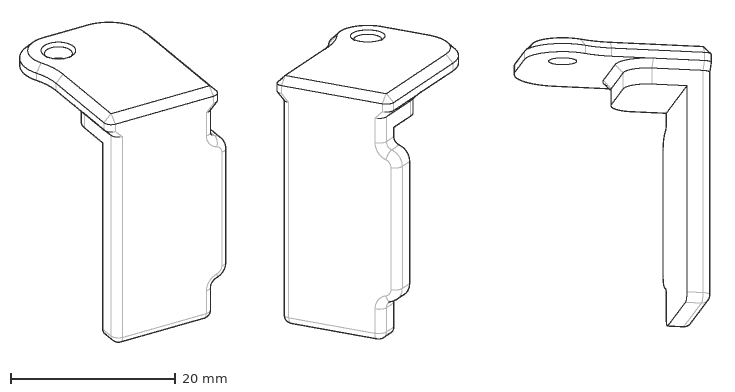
import cadquery as cq
import math

plate_length = 22.7
plate_width = 15.9
plate_thickness = 2.0
plate_corner_radius = 6.0
edge_size = 1.0
end_radius = edge_size + 0.03

lobe_radius = 4.75
lobe_center_y = 3.52
blend_radius = 8
hole_diameter = 3.4
hole_chamfer = 0.4

total_height = 32
block_left = 12.32
block_height = 3.0
block_corner_radius = 3.0
wall_thickness = 3.0
wall_front = edge_size
wall_back = plate_width - edge_size
wall_corner_radius = end_radius + 0.03

tab_back = 17.1
tab_top_z = -9.1
tab_bottom_z = -24.93
tab_outer_radius = 2.0
tab_inner_radius = 1.0

block_bottom_z = -plate_thickness - block_height


def arc_point(center, radius, degrees):
    """Point on a circle at an angle measured from the first axis."""
    angle = math.radians(degrees)
    return center[0] + radius * math.cos(angle), center[1] + radius * math.sin(angle)


def make_plate():
    center = (lobe_radius, lobe_center_y)
    center_distance = lobe_radius + blend_radius
    blend_rise = lobe_center_y + blend_radius
    blend_x = lobe_radius + math.sqrt(center_distance**2 - blend_rise**2)
    blend_center = (blend_x, -blend_radius)
    tangent_angle = math.degrees(math.atan2(-blend_rise, blend_x - lobe_radius))
    outline = (
        cq.Workplane("XY", origin=(0, 0, -plate_thickness))
        .moveTo(0, plate_width)
        .lineTo(0, lobe_center_y)
        .threePointArc(
            arc_point(center, lobe_radius, (tangent_angle - 180) / 2),
            arc_point(center, lobe_radius, tangent_angle),
        )
        .threePointArc(
            arc_point(blend_center, blend_radius, (tangent_angle + 180 + 90) / 2),
            (blend_x, 0),
        )
        .lineTo(plate_length, 0)
        .lineTo(plate_length, plate_width)
        .close()
    )
    plate = outline.extrude(plate_thickness)
    plate = plate.edges("|Z and >X").fillet(end_radius)
    back_left = cq.selectors.NearestToPointSelector((0, plate_width, -plate_thickness / 2))
    plate = plate.edges(back_left).fillet(plate_corner_radius)
    return plate.faces(">Z").chamfer(edge_size)


def make_wall():
    radius_sum = tab_outer_radius + tab_inner_radius
    sweep = math.degrees(math.acos(1 - (tab_back - wall_back) / radius_sum))
    run = radius_sum * math.sin(math.radians(sweep))
    outer_y = tab_back - tab_outer_radius
    inner_y = wall_back + tab_inner_radius
    top_outer = (outer_y, tab_top_z)
    top_inner = (inner_y, tab_top_z + run)
    bottom_outer = (outer_y, tab_bottom_z)
    bottom_inner = (inner_y, tab_bottom_z - run)
    wall = (
        cq.Workplane("YZ", origin=(plate_length - wall_thickness, 0, 0))
        .moveTo(wall_front, block_bottom_z)
        .lineTo(wall_back, block_bottom_z)
        .lineTo(wall_back, tab_top_z + run)
        .threePointArc(
            arc_point(top_inner, tab_inner_radius, 180 + sweep / 2),
            arc_point(top_inner, tab_inner_radius, 180 + sweep),
        )
        .threePointArc(arc_point(top_outer, tab_outer_radius, sweep / 2), (tab_back, tab_top_z))
        .lineTo(tab_back, tab_bottom_z)
        .threePointArc(
            arc_point(bottom_outer, tab_outer_radius, -sweep / 2),
            arc_point(bottom_outer, tab_outer_radius, -sweep),
        )
        .threePointArc(
            arc_point(bottom_inner, tab_inner_radius, 180 - sweep / 2),
            (wall_back, tab_bottom_z - run),
        )
        .lineTo(wall_back, -total_height)
        .lineTo(wall_front, -total_height)
        .close()
        .extrude(wall_thickness)
    )
    wall = wall.edges("|X and <Z").fillet(wall_corner_radius)
    outer_edges = wall.faces(">X").edges().edges("not >Z")
    return outer_edges.fillet(end_radius)


def rounded_block(top_z, height, overhang):
    """Block widened by the overhang on every side except the outer end."""
    length = plate_length - block_left + overhang
    width = wall_back - wall_front + 2 * overhang
    return (
        cq.Workplane("XY", origin=(plate_length - length / 2, plate_width / 2, top_z))
        .rect(length, width)
        .extrude(-height)
        .edges("|Z and <X")
        .fillet(block_corner_radius + overhang)
        .edges("|Z and >X")
        .fillet(end_radius)
    )


def make_block():
    straight_top_z = -plate_thickness - edge_size
    straight = rounded_block(straight_top_z, block_height - edge_size, 0)
    wide = rounded_block(-plate_thickness, edge_size, edge_size)
    flare_outlines = [wide.faces(">Z").wires().val(), straight.faces(">Z").wires().val()]
    flare = cq.Solid.makeLoft(flare_outlines, True)
    return straight.union(cq.Workplane(flare))


def make_hole_cutter():
    hole_radius = hole_diameter / 2
    return (
        cq.Workplane("XZ", origin=(lobe_radius, lobe_center_y, 0))
        .lineTo(hole_radius + hole_chamfer, 0)
        .lineTo(hole_radius, -hole_chamfer)
        .lineTo(hole_radius, -plate_thickness)
        .lineTo(0, -plate_thickness)
        .close()
        .revolve(360, (0, 0), (0, 1))
    )


result = make_plate().union(make_block()).union(make_wall()).cut(make_hole_cutter())